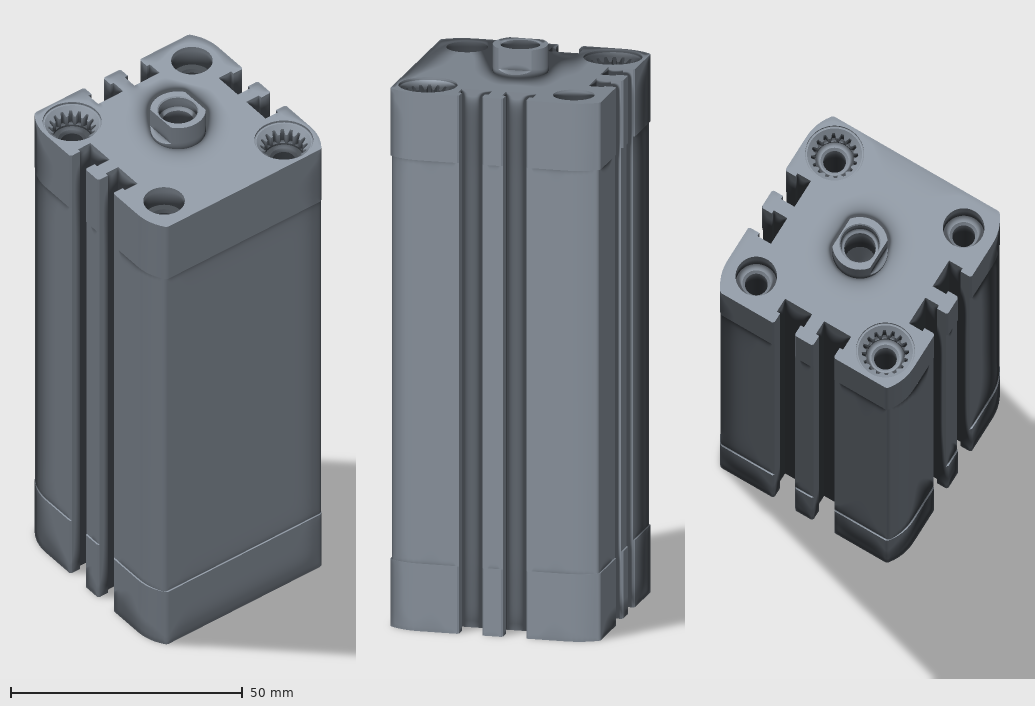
import cadquery as cq
import math

width = 47.0
half = width / 2
total_length = 126.2
rod_protrusion = 6.0
housing_length = total_length - rod_protrusion
cap_length = 15.0
barrel_inset = 0.4
cap_corner_y = 21.0
barrel_corner_y = 21.2
corner_start = 16.4
corner_blend = 1.0

slot_offset = 4.9
slot_opening = 5.2
slot_undercut = 6.8
slot_depth = 6.0
lip_depth = 2.7
lip_bevel = barrel_inset

hole_offset = 16.3
through_diameter = 4.9
thread_diameter = 6.0
counterbore_diameter = 9.0
counterbore_depth = 5.0

socket_rim_diameter = 12.7
socket_mouth_diameter = 11.9
socket_rim_depth = 0.5
spline_outer_diameter = 10.2
spline_inner_diameter = 8.5
spline_count = 16
flute_root_share = 0.7
flute_tip_share = 0.3
spline_depth = 4.5
socket_depth = 5.0

rod_diameter = 12.0
rod_insertion = cap_length
flat_width = 9.5
flat_length = 4.7
shoulder_drop = 0.8
rod_mouth_diameter = 9.0
rod_recess_diameter = 8.5
rod_recess_depth = 2.8
rod_bore_diameter = 6.8
rod_bore_depth = 12.6
drill_angle = 118.0


def prism(face, corner_y, bottom, length):
    """Upright block with wide corner arcs, tangent to the front and back faces at +/-face.

    The arcs meet the side faces at y = +/-corner_y, where the edge is rounded.
    """
    run = face - corner_start
    drop = face - corner_y
    radius = (run**2 + drop**2) / (2 * drop)
    half_angle = math.asin(run / radius) / 2
    mid_x = corner_start + radius * math.sin(half_angle)
    mid_y = face - radius + radius * math.cos(half_angle)
    block = (
        cq.Workplane("XY")
        .moveTo(-corner_start, face)
        .lineTo(corner_start, face)
        .threePointArc((mid_x, mid_y), (face, corner_y))
        .lineTo(face, -corner_y)
        .threePointArc((mid_x, -mid_y), (corner_start, -face))
        .lineTo(-corner_start, -face)
        .threePointArc((-mid_x, -mid_y), (-face, -corner_y))
        .lineTo(-face, corner_y)
        .threePointArc((-mid_x, mid_y), (-corner_start, face))
        .close()
        .extrude(length)
    )
    side_edges = block.faces("<X or >X").edges("|Z").vals()
    return block.newObject(side_edges).fillet(corner_blend).translate((0, 0, bottom))


def slot(angle, offset):
    """Undercut slot along the whole housing, open to the face at the given angle from +Y."""
    points = [
        (slot_opening / 2 + lip_bevel, half),
        (slot_opening / 2, half - lip_bevel),
        (slot_opening / 2, half - lip_depth),
        (slot_undercut / 2, half - lip_depth),
        (slot_undercut / 2, half - slot_depth),
    ]
    mirrored = [(-x, y) for x, y in reversed(points)]
    return (
        cq.Workplane("XY").polyline(points + mirrored).close().extrude(housing_length)
        .translate((offset, 0, 0)).rotate((0, 0, 0), (0, 0, 1), angle)
    )


def cone(start_diameter, end_diameter, height):
    """Cone frustum from the origin downwards."""
    downwards = cq.Vector(0, 0, -1)
    return cq.Workplane(cq.Solid.makeCone(start_diameter / 2, end_diameter / 2, height, dir=downwards))


def drill(diameter, depth):
    """Cylinder from the origin downwards."""
    return cq.Workplane("XY").circle(diameter / 2).extrude(-depth)


def drill_pointed(diameter, depth):
    """Drilled hole from the origin downwards, with a conical end below the given depth."""
    tip_height = diameter / 2 / math.tan(math.radians(drill_angle / 2))
    return drill(diameter, depth).union(cone(diameter, 0, tip_height).translate((0, 0, -depth)))


def threaded_hole(top_depth):
    """Through hole with a countersunk thread start at the given depth."""
    countersink = (thread_diameter - through_diameter) / 2
    return drill(through_diameter, housing_length).union(
        cone(thread_diameter, through_diameter, countersink).translate((0, 0, -top_depth))
    )


def counterbored_hole():
    """Through hole with a counterbore for a screw head."""
    return threaded_hole(counterbore_depth).union(drill(counterbore_diameter, counterbore_depth))


def splined_socket():
    """Through hole below a toothed socket with a tapered mouth and a shallow rim."""
    taper = (socket_mouth_diameter - spline_inner_diameter) / 2
    flute_points = []
    for i in range(spline_count):
        flute_centre = i + 0.5
        for step, diameter in (
            (-flute_root_share / 2, spline_inner_diameter),
            (-flute_tip_share / 2, spline_outer_diameter),
            (flute_tip_share / 2, spline_outer_diameter),
            (flute_root_share / 2, spline_inner_diameter),
        ):
            angle = 2 * math.pi * (flute_centre + step) / spline_count
            flute_points.append((diameter / 2 * math.cos(angle), diameter / 2 * math.sin(angle)))
    spline = cq.Workplane("XY").polyline(flute_points).close().extrude(-spline_depth)
    bore = drill(spline_inner_diameter, socket_depth)
    mouth = cone(socket_mouth_diameter, spline_inner_diameter, taper).translate((0, 0, -socket_rim_depth))
    rim = drill(socket_rim_diameter, socket_rim_depth)
    return threaded_hole(socket_depth).union(bore).union(spline).union(mouth).union(rim)


def build_housing():
    """Slimmer barrel between two end caps, with slots, corner holes and a seat for the rod."""
    barrel_length = housing_length - 2 * cap_length
    body = prism(half, cap_corner_y, 0, cap_length)
    body = body.union(prism(half - barrel_inset, barrel_corner_y, cap_length, barrel_length))
    body = body.union(prism(half, cap_corner_y, housing_length - cap_length, cap_length))
    for angle in (0, 90, 180):
        for offset in (-slot_offset, slot_offset):
            body = body.cut(slot(angle, offset))
    for side in (-1, 1):
        x = side * hole_offset
        body = body.cut(counterbored_hole().translate((x, -x, housing_length)))
        body = body.cut(splined_socket().translate((x, x, housing_length)))
    rod_seat = drill(rod_diameter, rod_insertion).translate((0, 0, housing_length))
    return body.cut(rod_seat)


def build_rod():
    """Rod with two wrench flats, sloping shoulders and a stepped bore."""
    body = drill(rod_diameter, rod_insertion + rod_protrusion)
    edge = rod_diameter / 2
    flat = (
        cq.Workplane("YZ")
        .moveTo(flat_width / 2, 0)
        .lineTo(flat_width / 2, -flat_length)
        .lineTo(edge, -flat_length - shoulder_drop)
        .lineTo(edge, 0)
        .close()
        .extrude(edge, both=True)
    )
    body = body.cut(flat).cut(flat.mirror("XZ"))
    chamfer = (rod_mouth_diameter - rod_recess_diameter) / 2
    body = body.cut(cone(rod_mouth_diameter, rod_recess_diameter, chamfer))
    body = body.cut(drill_pointed(rod_recess_diameter, rod_recess_depth))
    body = body.cut(drill_pointed(rod_bore_diameter, rod_bore_depth))
    return body.translate((0, 0, total_length))


housing = build_housing()
rod = build_rod()
result = cq.Compound.makeCompound([housing.val(), rod.val()])